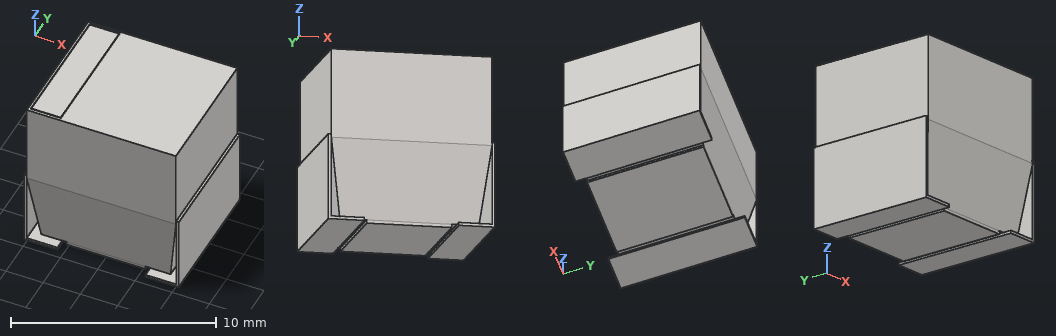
import cadquery as cq

total_width = 8.31
housing_depth = 7.11
total_height = 8.56

marker_thickness = 0.03
marker_width = 1.6
marker_margin = 0.16

terminal_thickness = 0.145
terminal_height = 4.25
terminal_depth = 7.08
foot_length = 1.8

standoff_height = 0.17
standoff_width = 4.25
taper_top = 4.09
taper_inset = 0.54
housing_width = total_width - 2 * terminal_thickness
housing_top = total_height - marker_thickness
base_width = housing_width - 2 * taper_inset
base_depth = housing_depth - 2 * taper_inset


def make_housing():
    """Block with four tapered lower faces, resting on a central standoff."""
    upper = (
        cq.Workplane("XY", origin=(0, 0, taper_top))
        .rect(housing_width, housing_depth)
        .extrude(housing_top - taper_top)
    )
    lower = (
        cq.Workplane("XY", origin=(0, 0, standoff_height))
        .rect(base_width, base_depth)
        .workplane(offset=taper_top - standoff_height)
        .rect(housing_width, housing_depth)
        .loft(ruled=True)
    )
    standoff = cq.Workplane("XY").rect(standoff_width, base_depth).extrude(standoff_height)
    return upper.union(lower).union(standoff)


def make_marker():
    """Thin strip along the -X edge of the housing top."""
    center_x = -housing_width / 2 + marker_margin + marker_width / 2
    return (
        cq.Workplane("XY", origin=(center_x, 0, housing_top))
        .rect(marker_width, housing_depth - 2 * marker_margin)
        .extrude(marker_thickness)
    )


def make_terminal(side):
    """L-shaped strip; side is -1 for the -X terminal and +1 for the +X one."""
    outer_x = side * total_width / 2
    wall_x = outer_x - side * terminal_thickness
    foot_x = outer_x - side * foot_length
    return (
        cq.Workplane("XZ")
        .moveTo(outer_x, 0)
        .lineTo(outer_x, terminal_height)
        .lineTo(wall_x, terminal_height)
        .lineTo(wall_x, terminal_thickness)
        .lineTo(foot_x, terminal_thickness)
        .lineTo(foot_x, 0)
        .close()
        .extrude(terminal_depth / 2, both=True)
    )


housing = make_housing()
marker = make_marker()
terminals = [make_terminal(side) for side in (-1, 1)]

result = cq.Compound.makeCompound(
    [housing.val(), marker.val(), *[terminal.val() for terminal in terminals]]
)